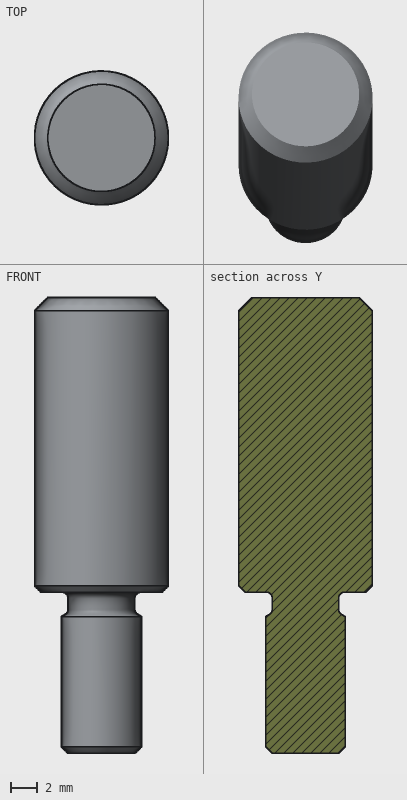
import cadquery as cq
import math

total_length = 34.0
stud_length = 12.0
body_radius = 10.0 / 2
stud_radius = 6.0 / 2
neck_radius = 5.0 / 2
top_chamfer = 1.0
shoulder_chamfer = 0.5
stud_chamfer = 0.5

undercut_length = 1.8
undercut_round = 0.4
flank_angle = math.radians(60)

flank_bottom_z = stud_length - undercut_length
lower_round_width = undercut_round * (1 - math.cos(flank_angle))
flank_top_radius = neck_radius + lower_round_width
flank_height = (stud_radius - flank_top_radius) / math.tan(flank_angle)
flank_top_z = flank_bottom_z + flank_height
neck_bottom_z = flank_top_z + undercut_round * math.sin(flank_angle)
neck_top_z = stud_length - undercut_round


def arc_point(center_r, center_z, radius, angle):
    """Point on an arc in the radius-height plane, at an angle from the radial direction."""
    return (center_r + radius * math.cos(angle), center_z + radius * math.sin(angle))


quarter_turn = math.pi / 2
round_center_r = neck_radius + undercut_round
lower_round_mid = arc_point(round_center_r, neck_bottom_z, undercut_round, math.pi + flank_angle / 2)
upper_round_mid = arc_point(round_center_r, neck_top_z, undercut_round, math.pi - quarter_turn / 2)


def half_profile():
    """Closed outline from the axis to the outside of the pin, in the XZ plane."""
    return (
        cq.Workplane("XZ")
        .moveTo(0, 0)
        .lineTo(stud_radius - stud_chamfer, 0)
        .lineTo(stud_radius, stud_chamfer)
        .lineTo(stud_radius, flank_bottom_z)
        .lineTo(flank_top_radius, flank_top_z)
        .threePointArc(lower_round_mid, (neck_radius, neck_bottom_z))
        .lineTo(neck_radius, neck_top_z)
        .threePointArc(upper_round_mid, (round_center_r, stud_length))
        .lineTo(body_radius - shoulder_chamfer, stud_length)
        .lineTo(body_radius, stud_length + shoulder_chamfer)
        .lineTo(body_radius, total_length - top_chamfer)
        .lineTo(body_radius - top_chamfer, total_length)
        .lineTo(0, total_length)
        .close()
    )


result = half_profile().revolve(360, (0, 0, 0), (0, 1, 0))